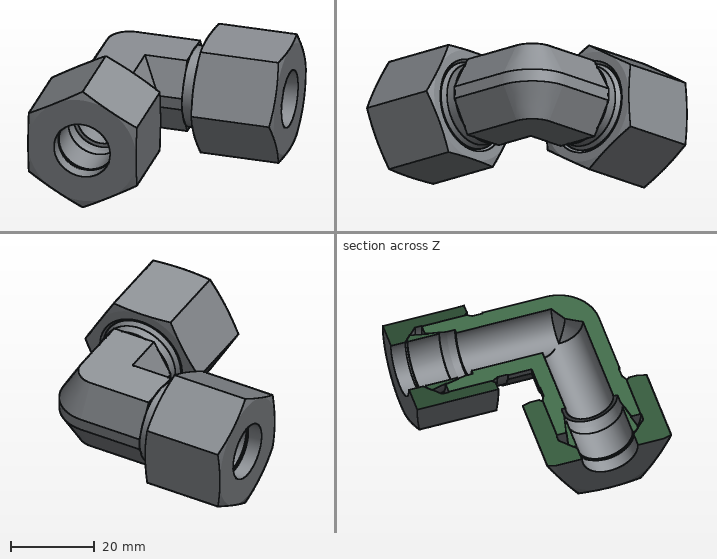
import cadquery as cq
import math


LONGEST_SIDE = 55.6

NUT_ACROSS_FLATS = 27.0
NUT_LENGTH = 20.5
NUT_EDGE_CHAMFER_ANGLE = 15.0
NUT_MOUTH_RADIUS = 11.3
NUT_BORE_LENGTH = 3.6

BODY_HEIGHT = 19.0
BODY_HALF_WIDTH = 10.1
BODY_REACH = 16.0
COLLAR_RADIUS = 9.9
COLLAR_END = 18.6
THREAD_RADIUS = 10.6
THREAD_END = 31.15
THREAD_LEAD_ANGLE = 30.0
BORE_RADIUS = 6.0
DRILL_TIP_HALF_ANGLE = 60.0
TUBE_RADIUS = 7.0
TUBE_STOP = 23.9

RING_SEAT_HALF_ANGLE = 12.0
RING_SEAT_START = 25.9
RING_FRONT = 27.8
RING_REAR_SETBACK = 0.6

NUT_FLAT_RADIUS = NUT_ACROSS_FLATS / 2
NUT_CORNER_RADIUS = NUT_FLAT_RADIUS / math.cos(math.pi / 6)
NUT_END = LONGEST_SIDE - NUT_CORNER_RADIUS
NUT_START = NUT_END - NUT_LENGTH
NUT_BORE_END = NUT_END - NUT_BORE_LENGTH
RING_REAR = NUT_BORE_END - RING_REAR_SETBACK
SEAT_SLOPE = math.tan(math.radians(RING_SEAT_HALF_ANGLE))

ARMS = [
    cq.Plane(origin=(0, 0, 0), xDir=(0, 1, 0), normal=(1, 0, 0)),
    cq.Plane(origin=(0, 0, 0), xDir=(0, 0, 1), normal=(0, -1, 0)),
]


def turned(outline):
    """Solid of revolution about Z from (radius, height) points."""
    return cq.Workplane("XZ").polyline(outline).close().revolve(360, (0, 0, 0), (0, 1, 0))


def on_arm(body, arm):
    """Move a body made along local Z onto an arm."""
    return body.val().moved(cq.Location(arm))


def seat_radius(distance):
    """Radius of the seat cone at a distance along the arm."""
    return TUBE_RADIUS + (distance - RING_SEAT_START) * SEAT_SLOPE


def body_half_section():
    """One half of the arm section: a hexagon with its side corner cut off."""
    half_height = BODY_HEIGHT / 2
    half_flat = half_height * math.tan(math.pi / 6)
    corner = 2 * half_flat
    side_half_height = (corner - BODY_HALF_WIDTH) * math.tan(math.pi / 3)
    return [
        (half_flat, -half_height),
        (BODY_HALF_WIDTH, -side_half_height),
        (BODY_HALF_WIDTH, side_half_height),
        (half_flat, half_height),
    ]


def make_elbow_body():
    """Two hexagonal arms, joined by the same section turned about Z at the outer corner."""
    right_half = body_half_section()
    left_half = [(-x, -z) for x, z in right_half]
    section = right_half + left_half
    x_arm = cq.Workplane("YZ").polyline(section).close().extrude(BODY_REACH)
    y_arm = cq.Workplane("XZ").polyline(section).close().extrude(BODY_REACH)
    half_height = BODY_HEIGHT / 2
    corner = turned([(0, -half_height)] + right_half + [(0, half_height)])
    return x_arm.union(y_arm).union(corner)


def make_threaded_end():
    """Relief collar, lead-in cone and thread cylinder."""
    lead_length = (THREAD_RADIUS - COLLAR_RADIUS) / math.tan(math.radians(THREAD_LEAD_ANGLE))
    return turned([
        (0, BODY_REACH),
        (COLLAR_RADIUS, BODY_REACH),
        (COLLAR_RADIUS, COLLAR_END),
        (THREAD_RADIUS, COLLAR_END + lead_length),
        (THREAD_RADIUS, THREAD_END),
        (0, THREAD_END),
    ])


def make_bore():
    """Cutter for one arm: drilled bore with pointed end, tube socket and seat cone."""
    tip_length = BORE_RADIUS / math.tan(math.radians(DRILL_TIP_HALF_ANGLE))
    return turned([
        (0, -tip_length),
        (BORE_RADIUS, 0),
        (BORE_RADIUS, TUBE_STOP),
        (TUBE_RADIUS, TUBE_STOP),
        (TUBE_RADIUS, RING_SEAT_START),
        (seat_radius(THREAD_END), THREAD_END),
        (0, THREAD_END),
    ])


def make_elbow():
    elbow = make_elbow_body()
    for arm in ARMS:
        elbow = elbow.union(on_arm(make_threaded_end(), arm))
    for arm in ARMS:
        elbow = elbow.cut(on_arm(make_bore(), arm))
    return elbow


def make_nut():
    """Hexagon nut with bevelled corners, threaded bore, 45 degree ring cone and tube bore."""
    hexagon = (
        cq.Workplane("XY")
        .workplane(offset=NUT_START)
        .polygon(6, 2 * NUT_CORNER_RADIUS)
        .extrude(NUT_LENGTH)
    )
    corner_depth = NUT_CORNER_RADIUS - NUT_FLAT_RADIUS
    bevel = corner_depth * math.tan(math.radians(NUT_EDGE_CHAMFER_ANGLE))
    bevelled_blank = turned([
        (0, NUT_START),
        (NUT_FLAT_RADIUS, NUT_START),
        (NUT_CORNER_RADIUS, NUT_START + bevel),
        (NUT_CORNER_RADIUS, NUT_END - bevel),
        (NUT_FLAT_RADIUS, NUT_END),
        (0, NUT_END),
    ])
    mouth_depth = NUT_MOUTH_RADIUS - THREAD_RADIUS
    ring_cone_length = THREAD_RADIUS - TUBE_RADIUS
    cavity = turned([
        (0, NUT_START),
        (NUT_MOUTH_RADIUS, NUT_START),
        (THREAD_RADIUS, NUT_START + mouth_depth),
        (THREAD_RADIUS, NUT_BORE_END - ring_cone_length),
        (TUBE_RADIUS, NUT_BORE_END),
        (TUBE_RADIUS, NUT_END),
        (0, NUT_END),
    ])
    return hexagon.intersect(bevelled_blank).cut(cavity)


def make_cutting_ring():
    """Ring tapered to fit the elbow seat, with a 45 degree shoulder against the nut."""
    shoulder = (NUT_BORE_END + RING_SEAT_START * SEAT_SLOPE) / (1 + SEAT_SLOPE)
    return turned([
        (TUBE_RADIUS, RING_FRONT),
        (seat_radius(RING_FRONT), RING_FRONT),
        (seat_radius(shoulder), shoulder),
        (TUBE_RADIUS + RING_REAR_SETBACK, RING_REAR),
        (TUBE_RADIUS, RING_REAR),
    ])


elbow = make_elbow()
nuts = [on_arm(make_nut(), arm) for arm in ARMS]
cutting_rings = [on_arm(make_cutting_ring(), arm) for arm in ARMS]

result = cq.Compound.makeCompound([elbow.val(), *nuts, *cutting_rings])